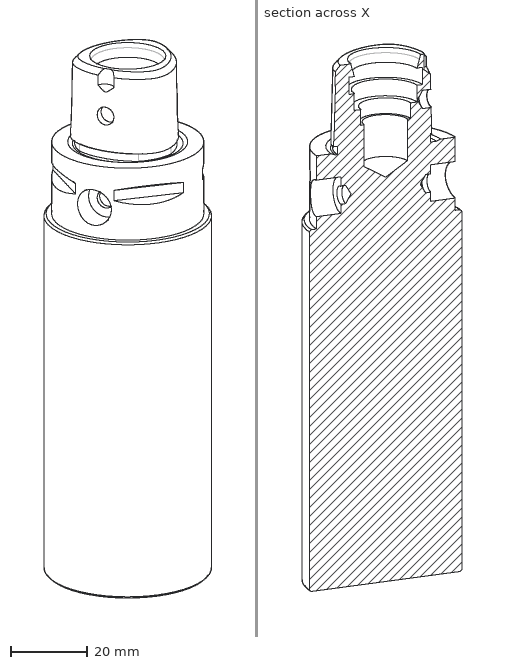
import cadquery as cq
import math

TOTAL_HEIGHT = 144.0
BODY_DIAMETER = 44.0
BODY_HEIGHT = 99.8
BODY_CHAMFER = 0.6
FLANGE_DIAMETER = 40.0
FLANGE_TOP = 120.0

SHANK_BASE_Z = 121.7
SHANK_BASE_RADIUS = 14.18
SHANK_TOP_RADIUS = 13.7
SHANK_LOBE = 0.9
SHANK_CHAMFER_HEIGHT = 1.6
SHANK_CHAMFER_WIDTH = 1.5
NECK_RADIUS = 13.8
NECK_ROUND_DIAMETER = 28.0
PROFILE_POINTS = 72

RECESS_DIAMETER = 31.5
RECESS_FLOOR_DIAMETER = 29.1
RECESS_DEPTH = 0.5

MOUTH_DIAMETER = 20.0
CONE_DIAMETER = 19.3
CONE_DEPTH = 1.3
LAND_DIAMETER = 18.0
LAND_DEPTH = 3.7
GROOVE_DIAMETER = 21.0
GROOVE_DEPTH = 8.4
SEAT_DEPTH = 13.0
HOLE_DIAMETER = 14.3
HOLE_DEPTH = 17.3
DRILL_DIAMETER = 12.4
DRILL_DEPTH = 28.8
DRILL_TIP_ANGLE = 118.0

PIN_DIAMETER = 4.9
PIN_Z = 131.5
PIN_DEPTH = 2.2
NOTCH_DIAMETER = 4.9
NOTCH_DEPTH = 4.3
NOTCH_CENTER_Y = -13.5
NOTCH_TIP_ANGLE = 100.0

SIDE_Z = 108.1
SIDE_DIAMETER = 10.0
SIDE_FLOOR_RADIUS = 13.0
SIDE_PILOT_DEPTH = 1.5

SLOT_Z = 112.2
SLOT_FLOOR_RADIUS = 17.5
SLOT_FLOOR_HEIGHT = 2.9
SLOT_MOUTH_HEIGHT = 5.3


def lobed_wire(radius, lobe, z):
    """Closed curve whose distance to its tangent lines is radius + lobe * cos(3 * angle from +Y)."""
    points = []
    for i in range(PROFILE_POINTS):
        angle = 2 * math.pi * i / PROFILE_POINTS
        lobe_angle = 3 * (angle - math.pi / 2)
        reach = radius + lobe * math.cos(lobe_angle)
        slope = -3 * lobe * math.sin(lobe_angle)
        x = reach * math.cos(angle) - slope * math.sin(angle)
        y = reach * math.sin(angle) + slope * math.cos(angle)
        points.append(cq.Vector(x, y, z))
    return cq.Wire.assembleEdges([cq.Edge.makeSpline(points, periodic=True)])


def lobed_solid(bottom, top):
    """Loft between two (radius, lobe, z) sections."""
    return cq.Workplane(cq.Solid.makeLoft([lobed_wire(*bottom), lobed_wire(*top)], True))


def drill(diameter, depth, tip_angle, start, direction):
    """Round tool body: a cylinder with a conical tip beyond its full-diameter depth."""
    radius = diameter / 2
    tip = radius / math.tan(math.radians(tip_angle / 2))
    start = cq.Vector(*start)
    direction = cq.Vector(*direction)
    shaft = cq.Solid.makeCylinder(radius, depth, start, direction)
    cone = cq.Solid.makeCone(radius, 0, tip, start + direction * depth, direction)
    return cq.Workplane(shaft).union(cq.Workplane(cone))


def make_body():
    body = cq.Workplane().circle(BODY_DIAMETER / 2).extrude(BODY_HEIGHT).edges().chamfer(BODY_CHAMFER)
    flange = cq.Workplane().circle(FLANGE_DIAMETER / 2).extrude(FLANGE_TOP)
    floor = cq.Vector(0, 0, FLANGE_TOP - RECESS_DEPTH)
    recess = cq.Solid.makeCone(RECESS_FLOOR_DIAMETER / 2, RECESS_DIAMETER / 2, RECESS_DEPTH, floor)
    return body.union(flange).cut(cq.Workplane(recess))


def make_shank():
    chamfer_z = TOTAL_HEIGHT - SHANK_CHAMFER_HEIGHT
    neck_bottom = (NECK_RADIUS, SHANK_LOBE, FLANGE_TOP - RECESS_DEPTH)
    neck_top = (NECK_RADIUS, SHANK_LOBE, SHANK_BASE_Z)
    base = (SHANK_BASE_RADIUS, SHANK_LOBE, SHANK_BASE_Z)
    shoulder = (SHANK_TOP_RADIUS, SHANK_LOBE, chamfer_z)
    tip = (SHANK_TOP_RADIUS - SHANK_CHAMFER_WIDTH, SHANK_LOBE, TOTAL_HEIGHT)
    neck_round = cq.Workplane().circle(NECK_ROUND_DIAMETER / 2).extrude(SHANK_BASE_Z)
    shank = lobed_solid(neck_bottom, neck_top).intersect(neck_round)
    shank = shank.union(lobed_solid(base, shoulder))
    return shank.union(lobed_solid(shoulder, tip))


def make_bore():
    drill_radius = DRILL_DIAMETER / 2
    tip_depth = DRILL_DEPTH + drill_radius / math.tan(math.radians(DRILL_TIP_ANGLE / 2))
    steps = [
        (MOUTH_DIAMETER, CONE_DIAMETER, CONE_DEPTH),
        (CONE_DIAMETER, LAND_DIAMETER, LAND_DEPTH),
        (GROOVE_DIAMETER, GROOVE_DIAMETER, GROOVE_DEPTH),
        (LAND_DIAMETER, LAND_DIAMETER, SEAT_DEPTH),
        (HOLE_DIAMETER, HOLE_DIAMETER, HOLE_DEPTH),
        (DRILL_DIAMETER, DRILL_DIAMETER, DRILL_DEPTH),
    ]
    profile = cq.Workplane("XZ").moveTo(0, TOTAL_HEIGHT)
    depth = 0
    previous_diameter = 0
    for top_diameter, bottom_diameter, next_depth in steps:
        if top_diameter != previous_diameter:
            profile = profile.lineTo(top_diameter / 2, TOTAL_HEIGHT - depth)
        profile = profile.lineTo(bottom_diameter / 2, TOTAL_HEIGHT - next_depth)
        depth = next_depth
        previous_diameter = bottom_diameter
    return profile.lineTo(0, TOTAL_HEIGHT - tip_depth).close().revolve(360, (0, 0), (0, 1))


def make_shank_drillings():
    surface_y = -SHANK_BASE_RADIUS
    surface_gap = SHANK_BASE_RADIUS - (SHANK_TOP_RADIUS - SHANK_LOBE)
    pin = drill(PIN_DIAMETER, surface_gap + PIN_DEPTH, DRILL_TIP_ANGLE, (0, surface_y, PIN_Z), (0, 1, 0))
    notch_start = (0, NOTCH_CENTER_Y, TOTAL_HEIGHT)
    notch = drill(NOTCH_DIAMETER, NOTCH_DEPTH, NOTCH_TIP_ANGLE, notch_start, (0, 0, -1))
    return pin.union(notch)


def make_side_hole():
    depth = FLANGE_DIAMETER / 2 - SIDE_FLOOR_RADIUS
    start = (0, -FLANGE_DIAMETER / 2, SIDE_Z)
    counterbore = cq.Solid.makeCylinder(SIDE_DIAMETER / 2, depth, cq.Vector(*start), cq.Vector(0, 1, 0))
    pilot = drill(PIN_DIAMETER, depth + SIDE_PILOT_DEPTH, DRILL_TIP_ANGLE, start, (0, 1, 0))
    return pilot.union(cq.Workplane(counterbore))


def make_gripper_slot():
    mouth_radius = FLANGE_DIAMETER / 2
    profile = [
        (SLOT_FLOOR_RADIUS, SLOT_Z - SLOT_FLOOR_HEIGHT / 2),
        (mouth_radius, SLOT_Z - SLOT_MOUTH_HEIGHT / 2),
        (mouth_radius, SLOT_Z + SLOT_MOUTH_HEIGHT / 2),
        (SLOT_FLOOR_RADIUS, SLOT_Z + SLOT_FLOOR_HEIGHT / 2),
    ]
    return cq.Workplane("XZ").polyline(profile).close().extrude(FLANGE_DIAMETER / 2, both=True)


result = make_body().union(make_shank()).cut(make_bore()).cut(make_shank_drillings())
for side_angle in (0, 180):
    result = result.cut(make_side_hole().rotate((0, 0, 0), (0, 0, 1), side_angle))
for slot_angle in (45, 135, 225, 315):
    result = result.cut(make_gripper_slot().rotate((0, 0, 0), (0, 0, 1), slot_angle))